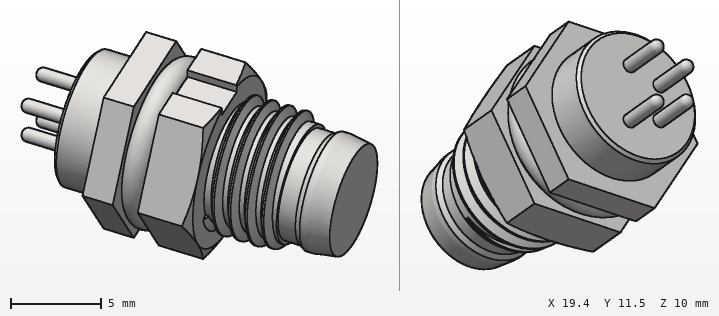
import cadquery as cq
import math


REAR_FACE = 3.0
FLANGE_START = 5.57
FLANGE_END = 7.4
HEX_START = 8.9
HEX_END = 11.9
THREAD_CORE_END = 16.28
NECK_END = 17.32
RIDGE_START = 17.67
RIDGE_END = 18.08
FRONT_FACE = 19.4

BARREL_RADIUS = 4.0
REAR_CHAMFER = 0.2
CORE_RADIUS = 3.47
NECK_RADIUS = 3.25
ACROSS_FLATS = 10.0
ACROSS_CORNERS = ACROSS_FLATS / math.cos(math.pi / 6)
HEX_CHAMFER_LENGTH = 0.31

NOTCH_WIDTH = 2.0
NOTCH_DEPTH = 0.5

RING_OUTER_RADIUS = ACROSS_FLATS / 2
RING_SHOULDER_RADIUS = 4.54

PIN_RADIUS = 0.4
PIN_TIP_FILLET = 0.37
PIN_CENTRES = [(0.56, 1.75), (0.56, -1.75), (-1.44, 1.1), (-1.44, -1.1)]

PITCH = 3.0 / 3
CREST_RADIUS = BARREL_RADIUS
CREST_WIDTH = 0.12
ROOT_WIDTH = 0.7
ROOT_EMBED = 0.1
TOP_CREST = 12.44
THREAD_START_ANGLE = -250.0
RUNOUT_START_ANGLE = 3 * 360 + 105.0
RUNOUT_SWEEP = 120.0
RUNOUT_STEPS = 8


def hexagon(start, end):
    """Hexagonal prism along X with flats facing up and down."""
    return cq.Workplane("YZ", origin=(start, 0, 0)).polygon(6, ACROSS_CORNERS).extrude(end - start)


def revolved(points):
    """Solid of revolution about X from (x, radius) points."""
    return cq.Workplane("XY").polyline(points).close().revolve(360, (0, 0, 0), (1, 0, 0))


def make_shell():
    """Turned core of the housing, from the rear barrel to the tapered nose."""
    return revolved([
        (REAR_FACE, 0),
        (REAR_FACE, BARREL_RADIUS - REAR_CHAMFER),
        (REAR_FACE + REAR_CHAMFER, BARREL_RADIUS),
        (HEX_START, BARREL_RADIUS),
        (HEX_START, CORE_RADIUS),
        (THREAD_CORE_END, CORE_RADIUS),
        (THREAD_CORE_END, NECK_RADIUS),
        (NECK_END, NECK_RADIUS),
        (RIDGE_START, CORE_RADIUS),
        (RIDGE_END, CORE_RADIUS),
        (FRONT_FACE, NECK_RADIUS),
        (FRONT_FACE, 0),
    ])


def make_front_hexagon():
    """Hexagon with its corners chamfered toward the thread and a key notch on top."""
    envelope = revolved([
        (HEX_START, 0),
        (HEX_START, ACROSS_CORNERS / 2),
        (HEX_END - HEX_CHAMFER_LENGTH, ACROSS_CORNERS / 2),
        (HEX_END, ACROSS_FLATS / 2),
        (HEX_END, 0),
    ])
    notch = cq.Workplane("XY").box(
        HEX_END - HEX_START, NOTCH_WIDTH, NOTCH_DEPTH, centered=(False, True, False)
    ).translate((HEX_START, 0, ACROSS_FLATS / 2 - NOTCH_DEPTH))
    return hexagon(HEX_START, HEX_END).intersect(envelope).cut(notch)


def thread_section(angle, height_fraction=1.0):
    """Ridge cross-section at an angle; a smaller fraction sinks it toward the core."""
    centre = TOP_CREST + PITCH * angle / 360
    crest = CORE_RADIUS + (CREST_RADIUS - CORE_RADIUS) * height_fraction
    crest_half = CREST_WIDTH / 2
    flank_slope = (ROOT_WIDTH - CREST_WIDTH) / 2 / (CREST_RADIUS - CORE_RADIUS)
    root = CORE_RADIUS - ROOT_EMBED
    root_half = crest_half + flank_slope * (crest - root)
    section = [
        (centre - root_half, root),
        (centre - crest_half, crest),
        (centre + crest_half, crest),
        (centre + root_half, root),
    ]
    turn = math.radians(angle)
    corners = [cq.Vector(x, -r * math.sin(turn), r * math.cos(turn)) for x, r in section]
    return cq.Wire.makePolygon(corners, close=True)


def make_thread():
    """Full-height right-hand helical ridge."""
    sweep_angle = RUNOUT_START_ANGLE - THREAD_START_ANGLE
    length = PITCH * sweep_angle / 360
    start_x = TOP_CREST + PITCH * THREAD_START_ANGLE / 360
    helix = cq.Wire.makeHelix(PITCH, length, CORE_RADIUS)
    helix = helix.rotate(cq.Vector(), cq.Vector(0, 1, 0), 90)
    helix = helix.rotate(cq.Vector(), cq.Vector(1, 0, 0), 180 + THREAD_START_ANGLE)
    helix = helix.translate(cq.Vector(start_x, 0, 0))
    section = thread_section(THREAD_START_ANGLE)
    return cq.Workplane(cq.Solid.sweep(section, [], helix, True, True))


def make_thread_runout():
    """Last part of the ridge, sinking evenly into the core."""
    sections = []
    for step in range(RUNOUT_STEPS + 1):
        fraction = step / RUNOUT_STEPS
        sections.append(thread_section(RUNOUT_START_ANGLE + RUNOUT_SWEEP * fraction, 1 - fraction))
    return cq.Workplane(cq.Solid.makeLoft(sections))


def make_pin(y, z):
    """Round-tipped contact pin, standing on the rear face."""
    pin = cq.Workplane("YZ", origin=(0, y, z)).circle(PIN_RADIUS).extrude(REAR_FACE)
    return pin.faces("<X").edges().fillet(PIN_TIP_FILLET)


def make_housing():
    """Connector housing with its hexagons, thread and contact pins."""
    housing = make_shell()
    housing = housing.union(hexagon(FLANGE_START, FLANGE_END))
    housing = housing.union(make_thread())
    housing = housing.union(make_thread_runout())
    housing = housing.union(make_front_hexagon())
    for y, z in PIN_CENTRES:
        housing = housing.union(make_pin(y, z))
    return housing.solids()


def make_sealing_ring():
    """Ring with a rounded outside, held between the two hexagons on the barrel."""
    return (
        cq.Workplane("XY")
        .moveTo(FLANGE_END, BARREL_RADIUS)
        .lineTo(FLANGE_END, RING_SHOULDER_RADIUS)
        .threePointArc(
            ((FLANGE_END + HEX_START) / 2, RING_OUTER_RADIUS),
            (HEX_START, RING_SHOULDER_RADIUS),
        )
        .lineTo(HEX_START, BARREL_RADIUS)
        .close()
        .revolve(360, (0, 0, 0), (1, 0, 0))
    )


housing = make_housing()
sealing_ring = make_sealing_ring()
result = cq.Compound.makeCompound([housing.val(), sealing_ring.val()])